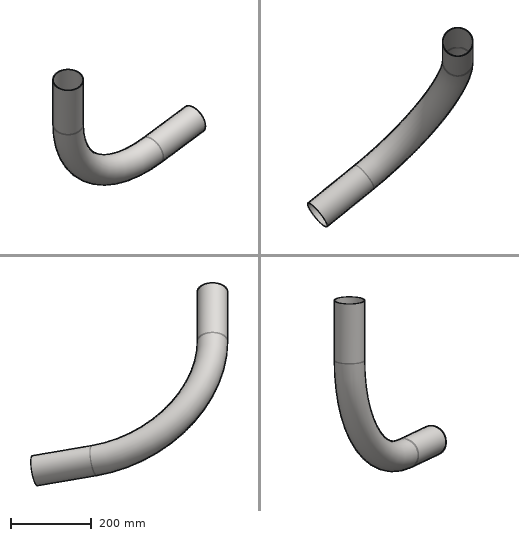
import cadquery as cq
import math

overall_size = 495.5
outer_diameter = 76.5
inner_diameter = 73.0
straight_length = 152.5

bend_radius = overall_size - straight_length - outer_diameter / 2

leg_end = bend_radius + straight_length
bend_middle = bend_radius * (1 - math.sqrt(0.5))
centreline = (
    cq.Workplane("YZ")
    .moveTo(0, leg_end)
    .lineTo(0, bend_radius)
    .threePointArc((bend_middle, bend_middle), (bend_radius, 0))
    .lineTo(leg_end, 0)
)

result = (
    cq.Workplane("XY")
    .workplane(offset=leg_end)
    .circle(outer_diameter / 2)
    .circle(inner_diameter / 2)
    .sweep(centreline)
)